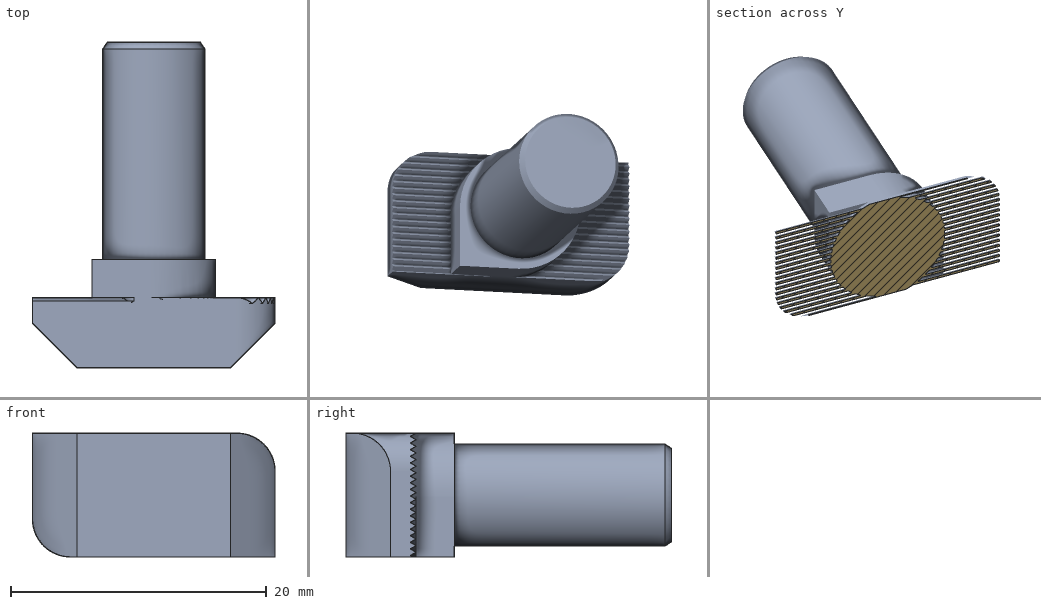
import cadquery as cq
import math


head_length = 19.0
head_depth = 5.5
head_width = 9.7
head_bevel = 3.5
head_corner_radius = 3.0

neck_length = 3.0
neck_corner_radius = 5.0

shank_diameter = 8.0
shank_length = 17.0
tip_chamfer_length = 0.54
tip_chamfer_radial = 0.36

serration_pitch = 0.518
serration_angle = 60.0
serration_depth = serration_pitch / 2 / math.tan(math.radians(serration_angle / 2))
serration_start = 0.5
serration_count = math.ceil(head_width / serration_pitch)


def round_opposite_corners(block, half_length, radius):
    """Round the (+X, +Z) and (-X, -Z) edges so the bolt can turn one way in its slot."""
    reach = 0.1
    for side in (1, -1):
        corner = (side * half_length, side * head_width / 2)
        selector = cq.selectors.BoxSelector(
            (corner[0] - reach, -head_depth, corner[1] - reach),
            (corner[0] + reach, neck_length, corner[1] + reach),
        )
        block = block.edges(selector).fillet(radius)
    return block


def make_head():
    head = cq.Workplane("XY").box(head_length, head_depth, head_width)
    head = head.translate((0, -head_depth / 2, 0))
    head = round_opposite_corners(head, head_length / 2, head_corner_radius)

    half_length = head_length / 2
    bevelled_outline = (
        cq.Workplane("XY")
        .moveTo(-half_length, 0)
        .lineTo(half_length, 0)
        .lineTo(half_length, head_bevel - head_depth)
        .lineTo(half_length - head_bevel, -head_depth)
        .lineTo(head_bevel - half_length, -head_depth)
        .lineTo(-half_length, head_bevel - head_depth)
        .close()
        .extrude(head_width / 2, both=True)
    )
    return head.intersect(bevelled_outline)


def make_neck():
    neck = cq.Workplane("XY").box(head_width, neck_length, head_width)
    neck = neck.translate((0, neck_length / 2, 0))
    return round_opposite_corners(neck, head_width / 2, neck_corner_radius)


def make_shank():
    radius = shank_diameter / 2
    tip_y = neck_length + shank_length
    return (
        cq.Workplane("XY")
        .moveTo(0, neck_length)
        .lineTo(radius, neck_length)
        .lineTo(radius, tip_y - tip_chamfer_length)
        .lineTo(radius - tip_chamfer_radial, tip_y)
        .lineTo(0, tip_y)
        .close()
        .revolve(360, (0, 0, 0), (0, 1, 0))
    )


def make_serrations(side):
    """V grooves on one wing (side = 1 for +X), counted from the edge with the rounded corner.

    They stop at a plain core under the neck, a full cylinder that shares the axis and radius of
    the rounded neck corner on this wing's side of the shank axis.
    """
    grooves = cq.Workplane("YZ")
    for index in range(serration_count):
        valley_z = side * (head_width / 2 - (index + 0.5) * serration_pitch)
        groove = (
            cq.Workplane("YZ", origin=(side * serration_start, 0, 0))
            .moveTo(0, valley_z - serration_pitch / 2)
            .lineTo(-serration_depth, valley_z)
            .lineTo(0, valley_z + serration_pitch / 2)
            .close()
            .extrude(side * (head_length / 2 - serration_start))
        )
        grooves = grooves.add(groove)

    centre = side * (head_width / 2 - neck_corner_radius)
    plain_core = (
        cq.Workplane("XZ")
        .center(centre, centre)
        .circle(neck_corner_radius)
        .extrude(head_depth + neck_length, both=True)
    )
    return grooves.combine().cut(plain_core)


head = make_head()
for wing_side in (1, -1):
    head = head.cut(make_serrations(wing_side))

result = head.union(make_neck()).union(make_shank())